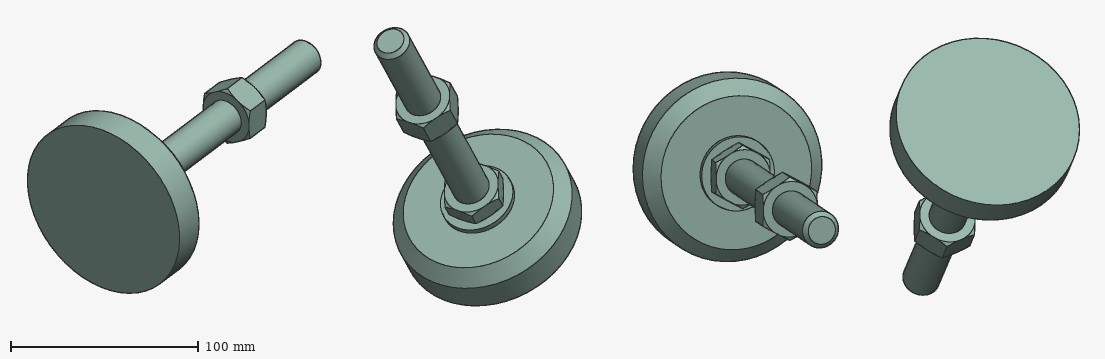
import cadquery as cq
import math

total_length = 189.0

pad_diameter = 100.0
pad_radius = pad_diameter / 2
pad_top_radius = 42.0
pad_rim_height = 18.0
pad_height = 25.9

collar_radius = 20.2
collar_height = 3.2

rod_radius = 10.0
tip_radius = 7.5
tip_length = 2.5

nut_across_flats = 30.0
nut_corner_radius = nut_across_flats / math.sqrt(3)
nut_face_radius = 15.1
nut_chamfer_angle = 30.0
base_nut_height = 10.0
lock_nut_height = 16.0
lock_nut_start = 113.0

collar_top = pad_height + collar_height


def revolve_about_y(profile):
    """Revolve an outline of (radius, y) points around the Y axis."""
    return cq.Workplane("XY").polyline(profile).close().revolve(360, (0, 0, 0), (0, 1, 0))


def hex_nut(start, height):
    """Hexagon with corners on the Z axis and conical chamfers at both ends."""
    end = start + height
    corners = []
    for degrees in range(0, 360, 60):
        angle = math.radians(degrees)
        corners.append((nut_corner_radius * math.sin(angle), nut_corner_radius * math.cos(angle)))
    prism = cq.Workplane("XZ", origin=(0, start, 0)).polyline(corners).close().extrude(-height)
    chamfer = (nut_corner_radius - nut_face_radius) * math.tan(math.radians(nut_chamfer_angle))
    envelope = revolve_about_y([
        (0, start),
        (nut_face_radius, start),
        (nut_corner_radius, start + chamfer),
        (nut_corner_radius, end - chamfer),
        (nut_face_radius, end),
        (0, end),
    ])
    return prism.intersect(envelope)


body = revolve_about_y([
    (0, 0),
    (pad_radius, 0),
    (pad_radius, pad_rim_height),
    (pad_top_radius, pad_height),
    (collar_radius, pad_height),
    (collar_radius, collar_top),
    (rod_radius, collar_top),
    (rod_radius, total_length - tip_length),
    (tip_radius, total_length),
    (0, total_length),
])

base_nut = hex_nut(collar_top, base_nut_height)
lock_nut = hex_nut(lock_nut_start, lock_nut_height)

result = body.union(base_nut).union(lock_nut)